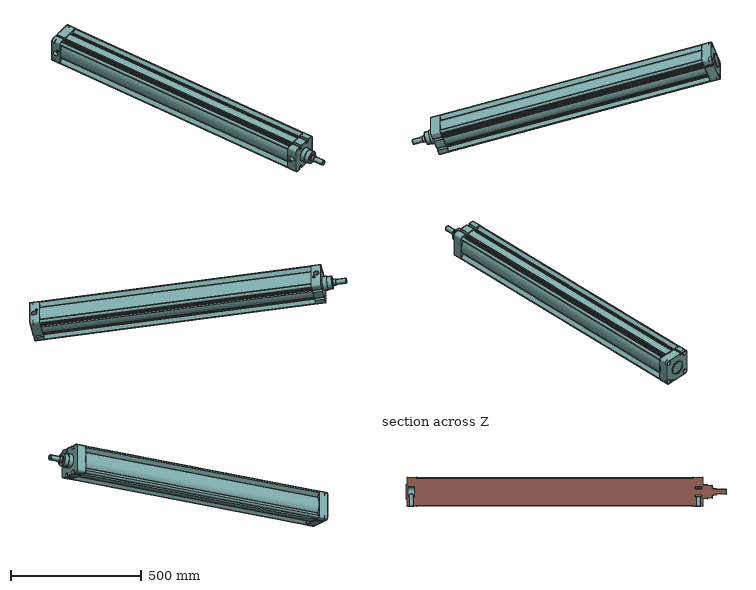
import cadquery as cq
import math


STROKE = 1000.0
HOUSING_LENGTH = 138.0 + STROKE
CAP_SIZE = 112.0
CAP_LENGTH = 38.0
TUBE_LENGTH = HOUSING_LENGTH - 2 * CAP_LENGTH
FRONT_CAP_START = HOUSING_LENGTH - CAP_LENGTH

SCREW_SPACING = 89.0
CAP_CORNER_RADIUS = (CAP_SIZE - SCREW_SPACING) / 2
SCREW_RECESS_DIAMETER = 17.0
SCREW_RECESS_DEPTH = 12.0
SCREW_HOLE_DIAMETER = 8.5
SCREW_HOLE_DEPTH = 28.0

SPIGOT_DIAMETER = 55.0
SPIGOT_LENGTH = 4.0

TUBE_SIZE = 110.0
BARREL_RADIUS = 53.0
BARREL_SIDE_HALF_WIDTH = 31.5
BARREL_TOP_HALF_WIDTH = 17.0
LOBE_CORNER_RADIUS = 9.0
LEDGE_HEIGHT = 43.0

SLOT_INNER = 21.0
SLOT_OUTER = 28.5
SLOT_DEPTH = 6.0
SLOT_LIP = 2.0
SLOT_UNDERCUT = 2.0
REAR_GROOVE_DEPTH = 7.0

PORT_DIAMETER = 20.5
PORT_INSET = 17.5
PORT_OFFSET = 7.5
CUSHION_DIAMETER = 8.0
CUSHION_DEPTH = 4.0
NEEDLE_HOLE_DIAMETER = 4.0
NEEDLE_HOLE_DEPTH = 10.0
CUSHION_INSET = 26.5
CUSHION_OFFSET = 9.0

CHAMBER_DIAMETER = 38.0
CHAMBER_LENGTH = 24.0

COLLAR_DIAMETER = 55.0
COLLAR_LENGTH = 18.0
BEARING_DIAMETER = 50.0
BEARING_LENGTH = 18.0
SEAL_DIAMETER = 29.0
SEAL_LENGTH = 4.0

ROD_EXTENSION = 51.0
ROD_DIAMETER = 25.0
ROD_CHAMFER = 1.5
THREAD_DIAMETER = 20.0
THREAD_LENGTH = 40.0
THREAD_CHAMFER = 2.0


def cylinder(start, length, diameter):
    """Cylinder on the rod axis."""
    return cq.Workplane("YZ", origin=(start, 0, 0)).circle(diameter / 2).extrude(length)


def both_halves(shape):
    """The shape together with its copy turned half a turn about the rod axis."""
    return shape.union(shape.rotate((0, 0, 0), (1, 0, 0), 180))


def cap_block(start):
    block = cq.Workplane("YZ", origin=(start, 0, 0)).rect(CAP_SIZE, CAP_SIZE).extrude(CAP_LENGTH)
    return block.edges("|X").fillet(CAP_CORNER_RADIUS)


def cap_groove(start, inner, outer, depth):
    """Groove along a cap's top on the -Y side, and its half-turn copy at the bottom."""
    corner = (start, -outer, CAP_SIZE / 2 - depth)
    groove = cq.Workplane("XY").box(CAP_LENGTH, outer - inner, depth, centered=False)
    return both_halves(groove.translate(corner))


def side_hole(x, z, diameter, depth):
    """Round hole into the -Y side of a cap."""
    face = cq.Workplane("XZ", origin=(x, -CAP_SIZE / 2, z))
    return face.circle(diameter / 2).extrude(-depth)


def air_passages(port_x, port_z, cushion_x, cushion_z):
    """Port down to its chamber, and the stepped hole of the cushioning screw."""
    chamber = cylinder(port_x - CHAMBER_LENGTH / 2, CHAMBER_LENGTH, CHAMBER_DIAMETER)
    port = side_hole(port_x, port_z, PORT_DIAMETER, CAP_SIZE / 2)
    cushion = side_hole(cushion_x, cushion_z, CUSHION_DIAMETER, CUSHION_DEPTH)
    needle = side_hole(cushion_x, cushion_z, NEEDLE_HOLE_DIAMETER, NEEDLE_HOLE_DEPTH)
    return chamber.union(port).union(cushion).union(needle)


def screw_holes(diameter, depth):
    corners = cq.Workplane("YZ").rect(SCREW_SPACING, SCREW_SPACING, forConstruction=True).vertices()
    return corners.circle(diameter / 2).extrude(depth)


def rear_cap():
    body = cap_block(0).union(cylinder(-SPIGOT_LENGTH, SPIGOT_LENGTH, SPIGOT_DIAMETER))
    body = body.cut(cap_groove(0, SLOT_INNER, SLOT_OUTER, REAR_GROOVE_DEPTH))
    body = body.cut(screw_holes(SCREW_RECESS_DIAMETER, SCREW_RECESS_DEPTH))
    body = body.cut(screw_holes(SCREW_HOLE_DIAMETER, SCREW_HOLE_DEPTH))
    return body.cut(air_passages(PORT_INSET, -PORT_OFFSET, CUSHION_INSET, CUSHION_OFFSET))


def front_cap():
    depth = CAP_SIZE / 2 - LEDGE_HEIGHT
    groove = cap_groove(FRONT_CAP_START, BARREL_TOP_HALF_WIDTH, SLOT_OUTER, depth)
    body = cap_block(FRONT_CAP_START).cut(groove).cut(groove.mirror("XZ"))
    port_x = HOUSING_LENGTH - PORT_INSET
    cushion_x = HOUSING_LENGTH - CUSHION_INSET
    return body.cut(air_passages(port_x, PORT_OFFSET, cushion_x, -CUSHION_OFFSET))


def tube():
    """Quarter of the section in +Y +Z, extruded and mirrored into the other three quarters."""
    edge = TUBE_SIZE / 2
    tip = edge - LOBE_CORNER_RADIUS
    tip_middle = tip + LOBE_CORNER_RADIUS * math.sqrt(0.5)
    slot_floor = LEDGE_HEIGHT - SLOT_DEPTH
    lip_bottom = LEDGE_HEIGHT - SLOT_LIP
    side_angle = math.asin(BARREL_SIDE_HALF_WIDTH / BARREL_RADIUS)
    top_angle = math.acos(BARREL_TOP_HALF_WIDTH / BARREL_RADIUS)

    def on_barrel(angle):
        return BARREL_RADIUS * math.cos(angle), BARREL_RADIUS * math.sin(angle)

    quarter = (
        cq.Workplane("YZ", origin=(CAP_LENGTH, 0, 0))
        .lineTo(BARREL_RADIUS, 0)
        .threePointArc(on_barrel(side_angle / 2), on_barrel(side_angle))
        .lineTo(BARREL_SIDE_HALF_WIDTH + LOBE_CORNER_RADIUS, BARREL_SIDE_HALF_WIDTH)
        .lineTo(edge, tip)
        .threePointArc((tip_middle, tip_middle), (tip, edge))
        .lineTo(LEDGE_HEIGHT - LOBE_CORNER_RADIUS, LEDGE_HEIGHT)
        .lineTo(SLOT_OUTER, LEDGE_HEIGHT)
        .lineTo(SLOT_OUTER, lip_bottom)
        .lineTo(SLOT_OUTER + SLOT_UNDERCUT, lip_bottom)
        .lineTo(SLOT_OUTER + SLOT_UNDERCUT, slot_floor)
        .lineTo(SLOT_INNER - SLOT_UNDERCUT, slot_floor)
        .lineTo(SLOT_INNER - SLOT_UNDERCUT, lip_bottom)
        .lineTo(SLOT_INNER, lip_bottom)
        .lineTo(SLOT_INNER, LEDGE_HEIGHT)
        .lineTo(BARREL_TOP_HALF_WIDTH, LEDGE_HEIGHT)
        .lineTo(*on_barrel(top_angle))
        .threePointArc(on_barrel((top_angle + math.pi / 2) / 2), (0, BARREL_RADIUS))
        .close()
        .extrude(TUBE_LENGTH)
    )
    half = quarter.union(quarter.mirror("XZ"))
    return half.union(half.mirror("XY"))


def nose():
    bearing_start = HOUSING_LENGTH + COLLAR_LENGTH
    seal_start = bearing_start + BEARING_LENGTH
    body = cylinder(HOUSING_LENGTH, COLLAR_LENGTH, COLLAR_DIAMETER)
    body = body.union(cylinder(bearing_start, BEARING_LENGTH, BEARING_DIAMETER))
    return body.union(cylinder(seal_start, SEAL_LENGTH, SEAL_DIAMETER))


def rod():
    """Rod from the front cap's inner face out to the threaded end."""
    shank = cylinder(FRONT_CAP_START, CAP_LENGTH + ROD_EXTENSION, ROD_DIAMETER)
    shank = shank.faces(">X").chamfer(ROD_CHAMFER)
    thread = cylinder(HOUSING_LENGTH + ROD_EXTENSION, THREAD_LENGTH, THREAD_DIAMETER)
    return shank.union(thread.faces(">X").chamfer(THREAD_CHAMFER))


result = rear_cap().union(tube()).union(front_cap()).union(nose()).union(rod())